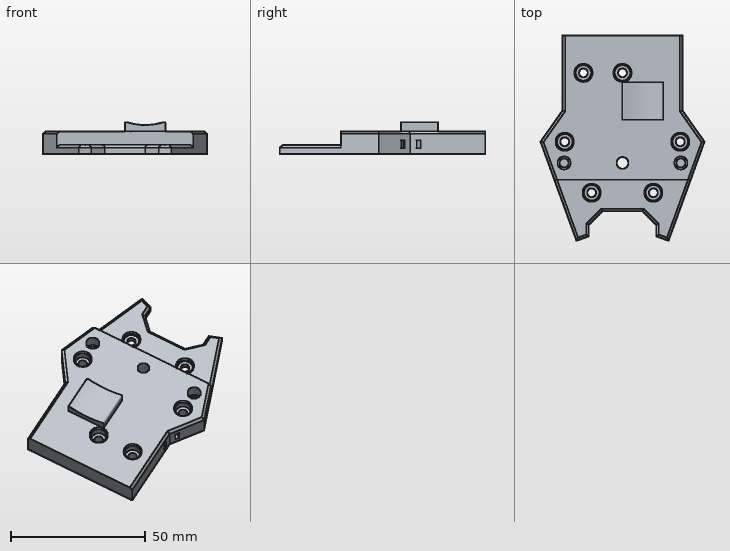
import cadquery as cq

LENGTH = 76.7
TAIL_HALF_WIDTH = 22.4
SHOULDER_Y = 48.6
WIDEST_HALF_WIDTH = 30.6
WIDEST_Y = 36.95
TIP_HALF_SPACING = 17.2

NOTCH_HALF_WIDTH = 12.5
NOTCH_MOUTH_Y = 1.7
NOTCH_FLOOR_Y = 11.0
NOTCH_FLOOR_HALF_WIDTH = 7.5
NOTCH_CORNER_Y = NOTCH_FLOOR_Y - (NOTCH_HALF_WIDTH - NOTCH_FLOOR_HALF_WIDTH)

DECK_HEIGHT = 8.5
LIP_HEIGHT = 3.45
STEP_Y = 22.85
EDGE_CHAMFER = 1.0

SCREW_DIAMETER = 3.2
COUNTERBORE_DIAMETER = 5.75
MOUTH_CHAMFER = 0.5
MOUTH_CHAMFER_ANGLE = 45
LIP_COUNTERBORE_FLOOR_Z = 2.0
DECK_COUNTERBORE_FLOOR_Z = 5.0
DECK_SCREWS = [(-14.6, 62.65), (0, 62.65), (-21.55, WIDEST_Y), (21.55, WIDEST_Y)]
LIP_SCREWS = [(-11.5, 17.95), (11.5, 17.95)]

PIN_ROW_Y = 29.1
PIN_X = 21.8
PIN_DIAMETER = 4.9
PIN_DEPTH = 5.4
PIN_PILOT_DIAMETER = 3.4
PIN_PILOT_DEPTH = 6.9
CENTRE_HOLE_DIAMETER = 4.3

PAD_LEFT_X = -0.1
PAD_WIDTH = 15.2
PAD_FRONT_Y = 45.2
PAD_LENGTH = 13.95
PAD_TOP_Z = 12.0
PAD_HOLLOW_Z = 10.9
PAD_RIM_RADIUS = 0.5

TIE_INNER_RADIUS = 2.45
TIE_OUTER_RADIUS = 4.1
TIE_BOTTOM_Z = 2.15
TIE_HEIGHT = 3.1


def plate(height):
    """Full plate outline raised to a height, with every top edge chamfered except the back one."""
    right_side = [
        (NOTCH_FLOOR_HALF_WIDTH, NOTCH_FLOOR_Y),
        (NOTCH_HALF_WIDTH, NOTCH_CORNER_Y),
        (NOTCH_HALF_WIDTH, NOTCH_MOUTH_Y),
        (TIP_HALF_SPACING, 0),
        (WIDEST_HALF_WIDTH, WIDEST_Y),
        (TAIL_HALF_WIDTH, SHOULDER_Y),
        (TAIL_HALF_WIDTH, LENGTH),
    ]
    left_side = [(-x, y) for x, y in reversed(right_side)]
    body = cq.Workplane("XY").polyline(right_side + left_side).close().extrude(height)
    return body.faces(">Z").edges("not(>Y)").chamfer(EDGE_CHAMFER)


def plate_slice(y_min, y_max):
    """Block taller and wider than the plate, between two Y positions."""
    return (
        cq.Workplane("XY")
        .box(2 * WIDEST_HALF_WIDTH, y_max - y_min, PAD_TOP_Z, centered=(True, False, False))
        .translate((0, y_min, 0))
    )


def stepped_plate():
    """Thick deck behind the step and thin lip in front of it, both with chamfered rims."""
    deck = plate(DECK_HEIGHT).intersect(plate_slice(STEP_Y, LENGTH))
    lip = plate(LIP_HEIGHT).intersect(plate_slice(0, STEP_Y))
    return deck.union(lip)


def saddle_pad():
    """Block on the deck with a shallow cylindrical hollow along Y and rounded side rims."""
    rim_centre_offset = PAD_WIDTH / 2 - PAD_RIM_RADIUS
    rim_centre_rise = PAD_TOP_Z - PAD_RIM_RADIUS - PAD_HOLLOW_Z
    hollow_radius = (rim_centre_offset**2 + rim_centre_rise**2 - PAD_RIM_RADIUS**2) / (
        2 * (rim_centre_rise + PAD_RIM_RADIUS)
    )
    block = cq.Workplane("XY").box(
        PAD_WIDTH, PAD_LENGTH, PAD_TOP_Z + PAD_RIM_RADIUS - DECK_HEIGHT, centered=(True, False, False)
    )
    hollow = (
        cq.Workplane("XZ")
        .center(0, PAD_HOLLOW_Z - DECK_HEIGHT + hollow_radius)
        .circle(hollow_radius)
        .extrude(-PAD_LENGTH)
    )
    pad = block.cut(hollow)
    pad = pad.edges("|Y and (not <Z)").fillet(PAD_RIM_RADIUS)
    return pad.translate((PAD_LEFT_X + PAD_WIDTH / 2, PAD_FRONT_Y, DECK_HEIGHT))


def bore(points, diameter, floor_z, top_z):
    """Vertical cylinders between two heights at the given points."""
    return (
        cq.Workplane("XY").workplane(offset=floor_z).pushPoints(points)
        .circle(diameter / 2).extrude(top_z - floor_z)
    )


def screw_holes(points, floor_z, top_z):
    """Through holes with counterbores whose mouths are chamfered at top_z."""
    mouths = (
        cq.Workplane("XY").workplane(offset=top_z).pushPoints(points)
        .circle(COUNTERBORE_DIAMETER / 2 + MOUTH_CHAMFER)
        .extrude(-MOUTH_CHAMFER, taper=MOUTH_CHAMFER_ANGLE)
    )
    shanks = bore(points, SCREW_DIAMETER, 0, top_z)
    counterbores = bore(points, COUNTERBORE_DIAMETER, floor_z, top_z)
    return shanks.union(counterbores).union(mouths)


def tie_slot(side):
    """Flat ring centred on one shoulder corner; side is -1 for left and 1 for right."""
    return (
        cq.Workplane("XY").workplane(offset=TIE_BOTTOM_Z)
        .center(side * TAIL_HALF_WIDTH, SHOULDER_Y)
        .circle(TIE_OUTER_RADIUS).circle(TIE_INNER_RADIUS)
        .extrude(TIE_HEIGHT)
    )


def pin_sockets():
    """Blind sockets with a narrower pilot continuing below each floor."""
    points = [(-PIN_X, PIN_ROW_Y), (PIN_X, PIN_ROW_Y)]
    sockets = bore(points, PIN_DIAMETER, DECK_HEIGHT - PIN_DEPTH, DECK_HEIGHT)
    pilots = bore(points, PIN_PILOT_DIAMETER, DECK_HEIGHT - PIN_PILOT_DEPTH, DECK_HEIGHT)
    return sockets.union(pilots)


result = stepped_plate().union(saddle_pad())
result = result.cut(screw_holes(DECK_SCREWS, DECK_COUNTERBORE_FLOOR_Z, DECK_HEIGHT))
result = result.cut(screw_holes(LIP_SCREWS, LIP_COUNTERBORE_FLOOR_Z, LIP_HEIGHT))
result = result.cut(pin_sockets())
result = result.cut(bore([(0, PIN_ROW_Y)], CENTRE_HOLE_DIAMETER, 0, DECK_HEIGHT))
for side in (-1, 1):
    result = result.cut(tie_slot(side))